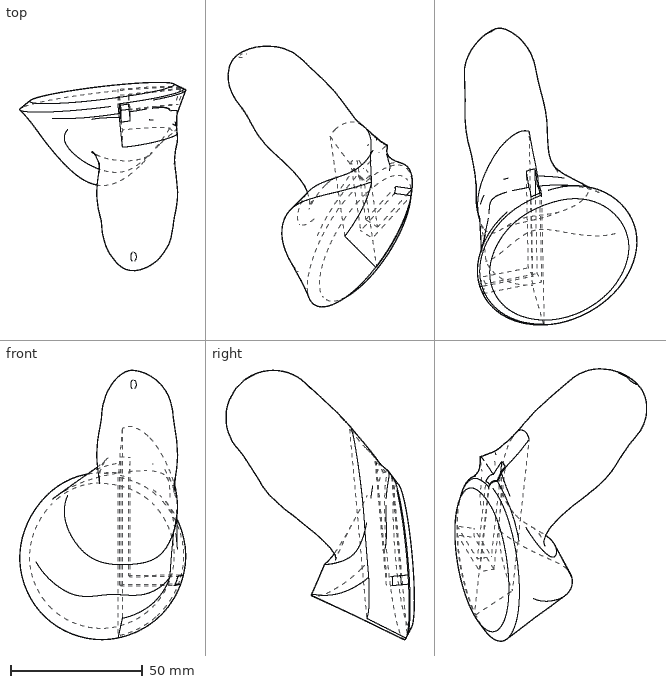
import cadquery as cq
import math

RIM_RADIUS = 31.9
BACK_RADIUS = 27.8
FLANGE_THICKNESS = 2.7
FACING = (0.116, -0.989, -0.09)

GRIP_X = 11.6
LEFT_WIDTH = 13.2
RIGHT_WIDTH = 16.3
NECK_TOP = (-16.5, 48.1)
NECK_BOTTOM = (-39.8, 15.6)
COLLAR_TOP = (-27.6, 59.5)
COLLAR_BOTTOM = (-54.6, 32.1)
KNOB_CENTER = (-47.2, 53.0)
KNOB_RADIUS = 18.1
KNOB_LEFT_WIDTH = 12.2
KNOB_RIGHT_WIDTH = 15.4
KNOB_SHARPNESS = 1.3
KNOB_LEAN = 45.0
KNOB_STEPS = (0, 15, 30, 45, 60, 70, 82)

WAIST_TOP = (-11.6, 42.2)
WAIST_BOTTOM = (-26.8, 4.6)
WAIST_LEFT_WIDTH = 14.9

SHOULDER = [
    (GRIP_X, -4.3, 32.6),
    (-20.6, -7.0, 20.6),
    (-26.8, -9.1, 1.0),
    (-12.4, -26.8, -14.1),
    (2.9, -32.4, -14.5),
    (17.5, -21.6, -14.0),
    (28.3, -5.7, -1.0),
    (25.8, -4.1, 21.6),
]

THROAT = [
    (GRIP_X, -7.0, 36.3),
    (-9.3, -8.8, 28.8),
    (-14.4, -16.0, 14.4),
    (-5.2, -24.7, 0.0),
    (9.3, -27.0, -3.1),
    (21.1, -17.5, 0.0),
    (27.5, -11.8, 11.3),
    (26.8, -9.3, 26.8),
]
OUTLINE_POINTS = len(SHOULDER)

INSERT_WALL = 5.9
INSERT_DEPTH = 14.3
INSERT_SINK = 0.5
CHANNEL_WIDTH = 3.5
CHANNEL_DEPTH = 5.8
CHANNEL_LEFT = INSERT_WALL + 0.5
CHANNEL_FLOOR = -10.9
REACH = 2 * RIM_RADIUS

base_plane = cq.Plane(origin=(0, 0, 0), xDir=(1, 0, 0), normal=FACING)


def closed_curve(points):
    """Smooth closed wire through the points, evenly spaced along its parameter."""
    steps = [i / len(points) for i in range(len(points) + 1)]
    vectors = [cq.Vector(*p) for p in points]
    return cq.Wire.assembleEdges([cq.Edge.makeSpline(vectors, periodic=True, parameters=steps)])


def oval(top, bottom, left_width, right_width):
    """Oval section between two (y, z) points, with its own width on each side of the grip plane."""
    mid_y = (top[0] + bottom[0]) / 2
    mid_z = (top[1] + bottom[1]) / 2
    points = []
    for i in range(OUTLINE_POINTS):
        turn = 2 * math.pi * i / OUTLINE_POINTS
        across = math.sin(turn)
        width = left_width if across > 0 else right_width
        y = mid_y + (top[0] - mid_y) * math.cos(turn)
        z = mid_z + (top[1] - mid_z) * math.cos(turn)
        points.append((GRIP_X - width * across, y, z))
    return closed_curve(points)


def knob_section(angle):
    """Section of the knob, shrinking from its widest one (angle 0) towards the tip (angle 90)."""
    lean = math.radians(KNOB_LEAN)
    forward = KNOB_RADIUS * math.sin(math.radians(angle))
    scale = math.cos(math.radians(angle))
    side_scale = scale**KNOB_SHARPNESS
    y = KNOB_CENTER[0] - forward * math.sin(lean)
    z = KNOB_CENTER[1] + forward * math.cos(lean)
    half_y = KNOB_RADIUS * scale * math.cos(lean)
    half_z = KNOB_RADIUS * scale * math.sin(lean)
    top = (y + half_y, z + half_z)
    bottom = (y - half_y, z - half_z)
    return oval(top, bottom, KNOB_LEFT_WIDTH * side_scale, KNOB_RIGHT_WIDTH * side_scale)


def flange_circle(radius, depth):
    """Circle around the flange axis, starting at its highest point and running over the left side."""
    points = []
    for i in range(OUTLINE_POINTS):
        turn = 2 * math.pi * i / OUTLINE_POINTS
        local = (-radius * math.sin(turn), radius * math.cos(turn), depth)
        points.append(base_plane.toWorldCoords(local).toTuple())
    return closed_curve(points)


def make_form():
    """Flange, flared base, neck and knob as one solid, with a flat face at each end."""
    loft = cq.occ_impl.shapes.loft
    back = flange_circle(BACK_RADIUS, -FLANGE_THICKNESS)
    rim = flange_circle(RIM_RADIUS, 0)
    shoulder = closed_curve(SHOULDER)
    throat = closed_curve(THROAT)
    waist = oval(WAIST_TOP, WAIST_BOTTOM, WAIST_LEFT_WIDTH, RIGHT_WIDTH)
    neck = oval(NECK_TOP, NECK_BOTTOM, LEFT_WIDTH, RIGHT_WIDTH)
    collar = oval(COLLAR_TOP, COLLAR_BOTTOM, LEFT_WIDTH, RIGHT_WIDTH)
    knob = [knob_section(angle) for angle in KNOB_STEPS]
    base = loft(back, rim, shoulder, throat, ruled=True)
    grip = loft(throat, waist, neck, collar, *knob, parametrization="chordal")
    end_faces = [cq.Face.makeFromWires(back), cq.Face.makeFromWires(knob[-1])]
    shell = cq.Shell.makeShell(end_faces + base.Faces() + grip.Faces())
    return cq.Workplane(cq.Solid.makeSolid(shell))


def base_box(left, right, bottom, top, start, end):
    """Box in the tilted frame of the base, from depth start to depth end."""
    return (
        cq.Workplane(base_plane)
        .workplane(offset=start)
        .moveTo((left + right) / 2, (bottom + top) / 2)
        .rect(right - left, top - bottom)
        .extrude(end - start)
    )


def make_insert_region():
    """Block that the insert takes out of the base, open to the top, the bottom and the right."""
    return base_box(INSERT_WALL, REACH, -REACH, REACH, -INSERT_SINK, INSERT_DEPTH)


def make_channel():
    """L-shaped channel: down from the top beside the wall, then out through the right side."""
    channel_right = CHANNEL_LEFT + CHANNEL_WIDTH
    channel_ceiling = CHANNEL_FLOOR + CHANNEL_WIDTH
    upright = base_box(CHANNEL_LEFT, channel_right, CHANNEL_FLOOR, REACH, 0, CHANNEL_DEPTH)
    outlet = base_box(CHANNEL_LEFT, REACH, CHANNEL_FLOOR, channel_ceiling, 0, CHANNEL_DEPTH)
    return upright.union(outlet)


form = make_form()
handle = form.cut(make_insert_region())
insert = form.intersect(make_insert_region()).cut(make_channel())

result = cq.Compound.makeCompound([*handle.solids().vals(), *insert.solids().vals()])